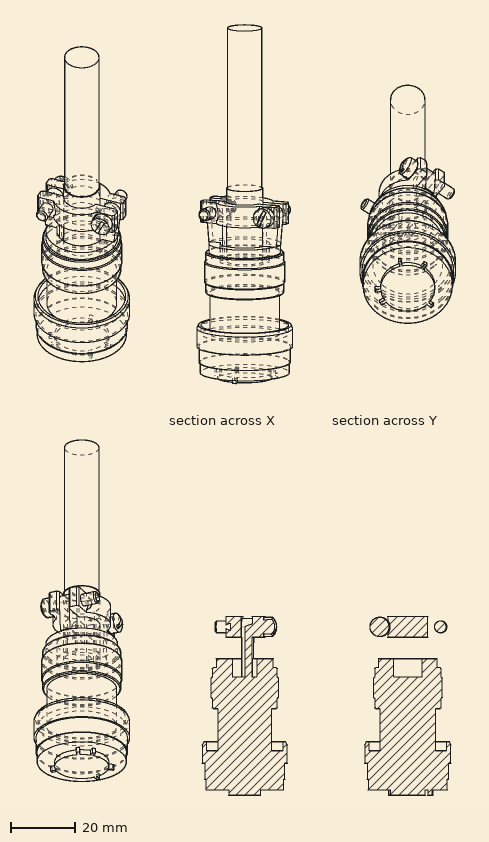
import cadquery as cq
import math

length = 110.9

bushing_radius = 5.7
bushing_step = 0.28
cable_radius = bushing_radius - bushing_step
bushing_top = 60.1

nut_bottom = 1.7
nut_lower_step = 5.0
nut_upper_step = 10.0
nut_top = 16.8
nut_radius = 29.8 / 2
nut_middle_radius = 28.5 / 2
nut_lower_radius = 27.8 / 2
nut_chamfer_width = 0.4
nut_chamfer_height = 1.0
cup_radius = 13.6
cup_floor = 14.0

body_radius = 10.9
ring_bottom = 27.0
grip_bottom = 30.2
grip_top = 36.9
ring_top = 39.9
ring_radius = 12.2
grip_radius = 12.5
ring_chamfer = 0.3

collar_radius = 11.2
collar_top = 42.6
collar_bore_radius = 7.8
collar_bore_floor = grip_top

insert_core_radius = 8.4
key_radius = 10.2
key_spans = ((87, 93), (191, 197), (220, 226), (301.5, 306), (348, 354))

clamp_turn = -5.5
clamp_bottom = 49.3
clamp_top = 55.8
clamp_height = clamp_top - clamp_bottom
clamp_axis_height = (clamp_bottom + clamp_top) / 2
clamp_half_length = 13.0
clamp_half_gap = 1.7
ear_thickness = 3.5
ear_outer = clamp_half_gap + ear_thickness
ear_chamfer = 0.7
saddle_radius = 9.0
spotface_radius = clamp_height / 2

screw_offset = 9.4
arm_top_radius = 2.7
arm_base_outer = 11.5
arm_root_outer = 10.0
arm_shoulder_outer = 12.3
arm_shoulder_height = 51.8
arm_inner = screw_offset - arm_top_radius

screw_radius = 1.9
screw_tip = 10.1
screw_tip_chamfer = 0.4
head_radius = 6.1 / 2
head_edge = 7.8
head_crown = 9.1
slot_width = 1.1
slot_depth = 0.9
slot_tilt = 25


def cylinder(radius, bottom, top):
    return cq.Workplane("XY").workplane(offset=bottom).circle(radius).extrude(top - bottom)


def coupling_nut():
    nut = cylinder(nut_lower_radius, nut_bottom, nut_lower_step)
    nut = nut.union(cylinder(nut_middle_radius, nut_lower_step, nut_upper_step))
    barrel = cylinder(nut_radius, nut_upper_step, nut_top)
    barrel = barrel.faces(">Z").chamfer(nut_chamfer_height, nut_chamfer_width)
    return nut.union(barrel).cut(cylinder(cup_radius, cup_floor, nut_top))


def shell():
    body = cylinder(body_radius, nut_bottom, ring_bottom)
    ring = cylinder(ring_radius, ring_bottom, ring_top).faces("<Z or >Z").chamfer(ring_chamfer)
    grip = cylinder(grip_radius, grip_bottom, grip_top).faces("<Z or >Z").chamfer(ring_chamfer)
    collar = cylinder(collar_radius, ring_top, collar_top)
    bore = cylinder(collar_bore_radius, collar_bore_floor, collar_top)
    return body.union(ring).union(grip).union(collar).cut(bore)


def key(start, end):
    """Sector from the insert axis; the part outside the core stands out as a key."""
    def rim(angle):
        turn = math.radians(angle)
        return key_radius * math.cos(turn), key_radius * math.sin(turn)

    return (
        cq.Workplane("XY")
        .lineTo(*rim(start))
        .threePointArc(rim((start + end) / 2), rim(end))
        .close()
        .extrude(nut_lower_step)
    )


def insert():
    keyed = cylinder(insert_core_radius, 0, nut_lower_step)
    for start, end in key_spans:
        keyed = keyed.union(key(start, end))
    return keyed


def cable():
    bushing = cylinder(bushing_radius, nut_lower_step, bushing_top)
    return bushing.union(cylinder(cable_radius, bushing_top, length))


def clamp_half():
    """Strap on the -Y side: two flat ears and a round saddle spotfaced around each screw."""
    ears = (
        cq.Workplane("XY")
        .workplane(offset=clamp_bottom)
        .center(0, -(clamp_half_gap + ear_outer) / 2)
        .rect(2 * clamp_half_length, ear_thickness)
        .extrude(clamp_height)
        .edges("|Z")
        .chamfer(ear_chamfer)
    )
    beyond_gap = (
        cq.Workplane("XY")
        .workplane(offset=clamp_bottom)
        .center(0, -clamp_half_gap - saddle_radius / 2)
        .rect(2 * saddle_radius, saddle_radius)
        .extrude(clamp_height)
    )
    saddle = cylinder(saddle_radius, clamp_bottom, clamp_top).intersect(beyond_gap)
    strap = ears.union(saddle)
    for x in (-screw_offset, screw_offset):
        spotface = (
            cq.Workplane("XZ")
            .workplane(offset=ear_outer)
            .center(x, clamp_axis_height)
            .circle(spotface_radius)
            .extrude(saddle_radius - ear_outer)
        )
        strap = strap.cut(spotface)
    return strap


def arm():
    """Tapered post on the +X side, rooted in the collar bore, with a round top over the screw."""
    return (
        cq.Workplane("XZ")
        .workplane(offset=-clamp_half_gap)
        .moveTo(arm_inner, collar_bore_floor)
        .lineTo(arm_root_outer, collar_bore_floor)
        .lineTo(arm_root_outer, collar_top)
        .lineTo(arm_base_outer, collar_top)
        .lineTo(arm_shoulder_outer, arm_shoulder_height)
        .threePointArc(
            (screw_offset, clamp_axis_height + arm_top_radius),
            (arm_inner, clamp_axis_height),
        )
        .close()
        .extrude(2 * clamp_half_gap)
    )


def screw():
    """Screw on the +X side with its slotted, domed head toward -Y."""
    dome_height = head_crown - head_edge
    dome_sphere = (head_radius**2 + dome_height**2) / (2 * dome_height)
    dome_drop = dome_sphere - math.sqrt(dome_sphere**2 - (head_radius / 2) ** 2)
    profile = (
        cq.Workplane("XY")
        .moveTo(0, -head_crown)
        .threePointArc((head_radius / 2, dome_drop - head_crown), (head_radius, -head_edge))
        .lineTo(head_radius, -ear_outer)
        .lineTo(screw_radius, -ear_outer)
        .lineTo(screw_radius, screw_tip - screw_tip_chamfer)
        .lineTo(screw_radius - screw_tip_chamfer, screw_tip)
        .lineTo(0, screw_tip)
        .close()
    )
    slot = (
        cq.Workplane("XY")
        .box(slot_width, 2 * slot_depth, 2 * head_radius)
        .rotate((0, 0, 0), (0, 1, 0), slot_tilt)
        .translate((0, -head_crown, 0))
    )
    turned = profile.revolve(360, (0, 0, 0), (0, 1, 0))
    return turned.cut(slot).translate((screw_offset, 0, clamp_axis_height))


def clamp():
    """Two equal halves, each with its arm and screw, half a turn apart."""
    half = clamp_half().union(arm()).union(screw())
    return half.union(half.rotate((0, 0, 0), (0, 0, 1), 180))


result = (
    coupling_nut()
    .union(shell())
    .union(insert())
    .union(cable())
    .union(clamp().rotate((0, 0, 0), (0, 0, 1), clamp_turn))
)